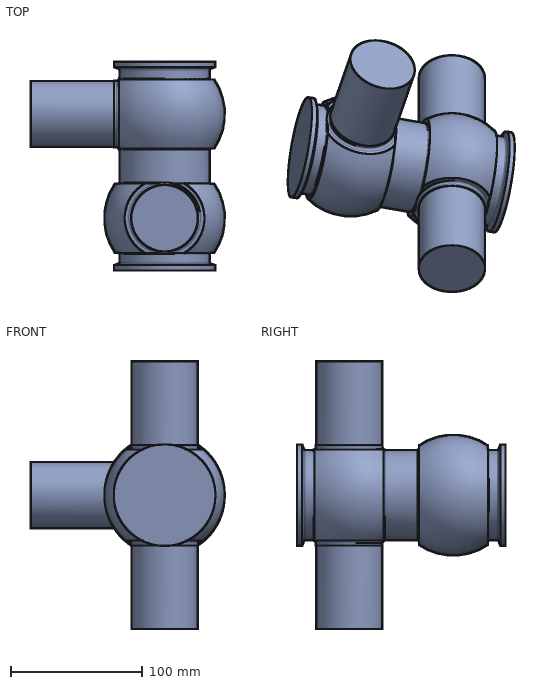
import cadquery as cq
import math

ball_radius = 46.0
face_half_width = 26.3
run_length = 159.0
ball_spacing = 79.3
neck_radius = 34.5
neck_fillet = 0.8

flange_radius = 38.8
rim_thickness = 4.0
root_fillet = 1.0
cone_radius = neck_radius + root_fillet
cone_depth = 5.3
root_depth = cone_depth + root_fillet

pipe_radius = 25.3
pipe_reach = 102.0
flat_offset = 34.7
collar_radius = 25.5
collar_top = 38.3
collar_fillet = 1.8

half_length = run_length / 2
front_center = (0, -ball_spacing / 2, 0)
rear_center = (0, ball_spacing / 2, 0)
up = (0, 0, 1)
down = (0, 0, -1)
left = (-1, 0, 0)


def arc_middle(radius):
    """Offset of a concave quarter arc's midpoint from the sharp corner."""
    return radius * (1 - math.sqrt(0.5))


def make_run():
    """Neck with a flange at each end, revolved about Y."""
    bulge = arc_middle(root_fillet)
    root_y = half_length - root_depth
    neck = cq.Workplane("XZ").circle(neck_radius).extrude(root_y, both=True)
    flange = (
        cq.Workplane("XY")
        .moveTo(0, root_y)
        .lineTo(neck_radius, root_y)
        .threePointArc(
            (neck_radius + bulge, half_length - cone_depth - bulge),
            (cone_radius, half_length - cone_depth),
        )
        .lineTo(flange_radius, half_length - rim_thickness)
        .lineTo(flange_radius, half_length)
        .lineTo(0, half_length)
        .close()
        .revolve(360, (0, 0, 0), (0, 1, 0))
    )
    return neck.union(flange).union(flange.mirror("XZ"))


def make_ball(center, pipe_directions):
    """Ball with two faces on Y, neck fillets and a flat under each pipe."""
    face_radius = math.sqrt(ball_radius**2 - face_half_width**2)
    fillet_outer = neck_radius + neck_fillet
    fillet_end = face_half_width + neck_fillet
    bulge = arc_middle(neck_fillet)
    ball = (
        cq.Workplane("XY")
        .moveTo(0, -fillet_end)
        .lineTo(neck_radius, -fillet_end)
        .threePointArc(
            (neck_radius + bulge, -face_half_width - bulge),
            (fillet_outer, -face_half_width),
        )
        .lineTo(face_radius, -face_half_width)
        .threePointArc((ball_radius, 0), (face_radius, face_half_width))
        .lineTo(fillet_outer, face_half_width)
        .threePointArc(
            (neck_radius + bulge, face_half_width + bulge),
            (neck_radius, fillet_end),
        )
        .lineTo(0, fillet_end)
        .close()
        .revolve(360, (0, 0, 0), (0, 1, 0))
    )
    for direction in pipe_directions:
        cutter = (
            cq.Workplane(cq.Plane((0, 0, 0), xDir=(0, 1, 0), normal=direction))
            .workplane(offset=flat_offset)
            .circle(ball_radius)
            .extrude(ball_radius)
        )
        ball = ball.cut(cutter)
    return ball.translate(center)


def make_branch(center, direction):
    """Solid branch pipe with a filleted collar, starting at the ball centre."""
    fillet_outer = collar_radius + collar_fillet
    fillet_top = flat_offset + collar_fillet
    bulge = arc_middle(collar_fillet)
    side = cq.Vector(0, 1, 0).cross(cq.Vector(direction))
    profile_plane = cq.Plane(center, xDir=(0, 1, 0), normal=side)
    return (
        cq.Workplane(profile_plane)
        .lineTo(collar_radius, 0)
        .lineTo(fillet_outer, flat_offset)
        .threePointArc(
            (collar_radius + bulge, flat_offset + bulge),
            (collar_radius, fillet_top),
        )
        .lineTo(collar_radius, collar_top)
        .lineTo(pipe_radius, collar_top)
        .lineTo(pipe_radius, pipe_reach)
        .lineTo(0, pipe_reach)
        .close()
        .revolve(360, (0, 0, 0), (0, 1, 0))
    )


result = make_run()
for ball_center, directions in ((front_center, (up, down)), (rear_center, (left,))):
    result = result.union(make_ball(ball_center, directions))
    for pipe_direction in directions:
        result = result.union(make_branch(ball_center, pipe_direction))